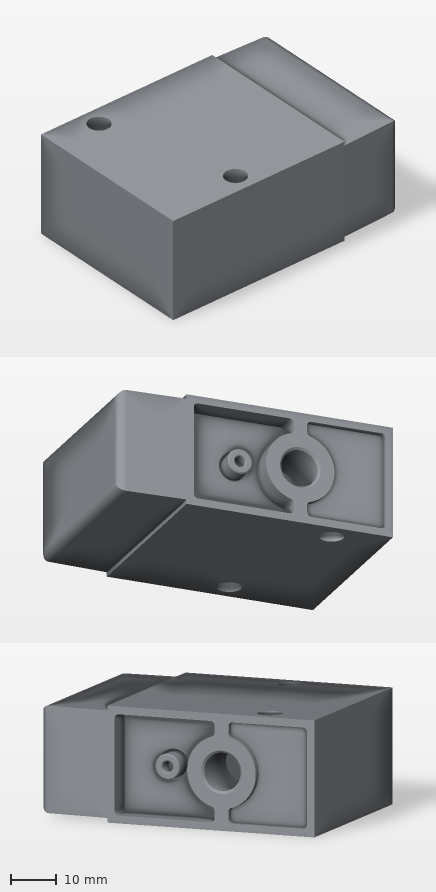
import cadquery as cq

width = 45.0
length = 65.0
height = 26.0
body_length = 49.0
mid_height = height / 2
left_face = -width / 2

cap_height = 23.9
cap_end_width = 43.7
cap_edge_radius = 1.95

wall = 1.75
deep_recess = 5.5
shallow_recess = 1.5
web_y = 22.0
web_width = 3.25
boss_diameter = 16.25
recess_corner_radius = 1.0

port_diameter = 8.6
port_depth = 13.0
port_chamfer = 0.5

pin_y = 35.5
pin_tip_depth = 1.7
pin_diameter = 5.8
pin_edge_chamfer = 0.25
pin_bore_diameter = 2.5
pin_bore_depth = 3.9
pin_bore_chamfer = 0.25
pin_seat_diameter = 5.9
pin_seat_chamfer = 0.5
pin_seat_depth = 1.3
pin_seat_bottom = deep_recess + pin_seat_depth

mount_diameter = 5.5
mount_x = 17.55
mount_places = [(-mount_x, 12.5), (mount_x, web_y)]


def side_cylinder(diameter, depth_from, depth_to, y):
    """Cylinder along X between two depths below the left face."""
    start = cq.Vector(left_face + depth_from, y, mid_height)
    solid = cq.Solid.makeCylinder(diameter / 2, depth_to - depth_from, start, cq.Vector(1, 0, 0))
    return cq.Workplane(obj=solid)


def chamfered_hole(diameter, depth_from, depth_to, y, chamfer):
    """Blind side hole whose mouth widens by the chamfer all round."""
    bore = side_cylinder(diameter, depth_from, depth_to, y)
    start = cq.Vector(left_face + depth_from, y, mid_height)
    cone = cq.Solid.makeCone(diameter / 2 + chamfer, diameter / 2, chamfer, start, cq.Vector(1, 0, 0))
    return bore.union(cq.Workplane(obj=cone))


def side_recess(y_start, y_end, depth):
    """Rectangular recess trimmed by the round boss, with rounded corners."""
    recess = cq.Workplane("XY").box(depth, y_end - y_start, height - 2 * wall, centered=False)
    recess = recess.translate((left_face, y_start, wall))
    recess = recess.cut(side_cylinder(boss_diameter, 0, depth, web_y))
    return recess.edges("|X").fillet(recess_corner_radius)


def end_cap():
    """Cap whose two sides lean inward toward its rounded end."""
    outline = [
        (-width / 2, body_length),
        (width / 2, body_length),
        (cap_end_width / 2, length),
        (-cap_end_width / 2, length),
    ]
    cap = cq.Workplane("XY").polyline(outline).close().extrude(cap_height)
    cap = cap.translate((0, 0, (height - cap_height) / 2))
    return cap.faces(">Y").edges().fillet(cap_edge_radius)


def pin():
    """Hollow pin with a chamfered tip."""
    post = side_cylinder(pin_diameter, pin_tip_depth, pin_seat_bottom, pin_y)
    post = post.faces("<X").chamfer(pin_edge_chamfer)
    bore_bottom = pin_tip_depth + pin_bore_depth
    return post.cut(chamfered_hole(pin_bore_diameter, pin_tip_depth, bore_bottom, pin_y, pin_bore_chamfer))


body = cq.Workplane("XY").box(width, body_length, height, centered=(True, False, False))
body = body.cut(side_recess(wall, web_y - web_width / 2, shallow_recess))
body = body.cut(side_recess(web_y + web_width / 2, body_length - wall, deep_recess))
body = body.cut(chamfered_hole(port_diameter, 0, port_depth, web_y, port_chamfer))
body = body.cut(cq.Workplane("XY").pushPoints(mount_places).circle(mount_diameter / 2).extrude(height))
body = body.cut(chamfered_hole(pin_seat_diameter, deep_recess, pin_seat_bottom, pin_y, pin_seat_chamfer))

result = body.union(pin()).union(end_cap())